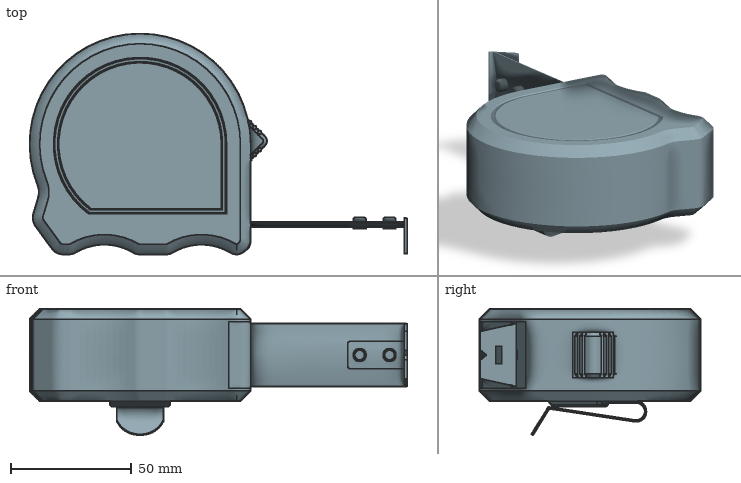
import cadquery as cq
import math


overall_length = 156.9
housing_width = 91.8
round_radius = housing_width / 2
wall_x = round_radius
base_y = -round_radius
half_height = 19.1
edge_chamfer = 4.2

wave_radius = 23.5
crest_radius = 5.6
wave_half_pitch = 14.9
wave_spacing = 40.3
wave_middle_x = 5.3
wave_centers = [wave_middle_x + wave_spacing / 2, wave_middle_x - wave_spacing / 2]
corner_height = 6.6
low_corner_x = -34.8
side_corner = (-45.2, -31.7)
notch_y = -19.5
corner_round = 6.3
notch_round = 7.8

groove_radius = 36.0
groove_base = 29.0
groove_width = 2.2
groove_depth = 0.5

mouth_left = 36.9
mouth_front = -44.7
mouth_back = -26.7
mouth_height = 27.6
mouth_round = 4.2

blade_width = 26.2
blade_sag = 1.9
blade_crown_half = 6.1
blade_thickness = 0.5
blade_edge_y = -32.2
blade_front_y = blade_edge_y - blade_sag - blade_thickness
hook_thickness = 1.4
hook_right = overall_length - round_radius
hook_left = hook_right - hook_thickness
hook_top = -30.6
hook_bottom = -45.5
hook_end_width = 19.6
hook_bend_radius = 1.0
hook_slot_y = -38.0
hook_slot_width = 2.5
hook_slot_height = 7.2
notch_depth = 2.5
notch_width = 4.0
tongue_left = 86.1
tongue_width = 11.3
tongue_corner = 1.1
tongue_step = 0.08
rivet_positions = [91.2, 103.5]
rivet_radius = 2.7
rivet_bore_radius = 2.0
rivet_bore_depth = 0.5
rivet_front_y = -35.1
rivet_back_y = -30.3
rivet_round = 1.3

button_y = 1.3
button_back = 44.0
button_tip = 52.7
button_height = 18.8
button_tip_radius = 2.7
button_chamfer = 1.5
rib_radius = 0.8
rib_pitch = 2.0
rib_count = 3
first_rib_offset = 4.0
rib_inset = 0.3

clip_width = 19.5
clip_thickness = 0.8
clip_top = -half_height
loop_y = 19.1
loop_radius = 4.0
leg_angle = math.radians(8.6)
crest_y = -17.1
tab_tip_y = -24.0
tab_tip_z = -33.1
tab_arc_height = 7.2
pad_width = 25.1
pad_front = -17.4
pad_side_end = 2.8
pad_back = 7.5
pad_thickness = 2.4
pad_chamfer = 1.0
pad_front_slope = 2.0


def scallop(outline, center_x):
    """Continue the base edge leftward through one finger scallop and its two rounded crests."""
    crest_y_center = base_y + crest_radius
    reach = wave_radius + crest_radius
    angle = math.asin(wave_half_pitch / reach)
    wave_y_center = crest_y_center - reach * math.cos(angle)

    def crest_point(side, turn):
        return (
            center_x + side * (wave_half_pitch - crest_radius * math.sin(turn)),
            crest_y_center - crest_radius * math.cos(turn),
        )

    wave_side = wave_half_pitch - crest_radius * math.sin(angle)
    wave_edge_y = crest_y_center - crest_radius * math.cos(angle)
    return (
        outline.threePointArc(crest_point(1, angle / 2), (center_x + wave_side, wave_edge_y))
        .threePointArc((center_x, wave_y_center + wave_radius), (center_x - wave_side, wave_edge_y))
        .threePointArc(crest_point(-1, angle / 2), (center_x - wave_half_pitch, base_y))
    )


def make_housing_outline():
    """Round case outline with a straight +X wall, a scalloped base and a notched -X side."""
    first_crest_x = wave_centers[0] + wave_half_pitch
    outline = (
        cq.Workplane("XY")
        .moveTo(wall_x, 0)
        .lineTo(wall_x, base_y + corner_height)
        .tangentArcPoint((first_crest_x, base_y), relative=False)
    )
    outline = scallop(outline, wave_centers[0])
    outline = outline.lineTo(wave_centers[1] + wave_half_pitch, base_y)
    outline = scallop(outline, wave_centers[1])
    notch_x = -math.sqrt(round_radius**2 - notch_y**2)
    return (
        outline.lineTo(low_corner_x, base_y)
        .lineTo(*side_corner)
        .lineTo(notch_x, notch_y)
        .threePointArc((0, round_radius), (wall_x, 0))
        .close()
    )


def make_case_half():
    """Upper half of the case, with the -X corners rounded and the top edge sloped in at 45 degrees."""
    notch_x = -math.sqrt(round_radius**2 - notch_y**2)
    side_height = half_height - edge_chamfer
    half = make_housing_outline().extrude(side_height)
    roundings = [
        ((low_corner_x, base_y), corner_round),
        (side_corner, corner_round),
        ((notch_x, notch_y), notch_round),
    ]
    for (x, y), radius in roundings:
        corner_edge = cq.selectors.NearestToPointSelector((x, y, side_height / 2))
        half = half.edges("|Z").edges(corner_edge).fillet(radius)
    rim = half.faces(">Z").wires().toPending().workplane()
    return half.union(rim.extrude(edge_chamfer, combine=False, taper=45))


def make_trim_outline(radius, base):
    """Outline with a round top, a straight +X side and a straight base at y = -base."""
    return (
        cq.Workplane("XY", origin=(0, 0, half_height))
        .moveTo(radius, 0)
        .lineTo(radius, -base)
        .lineTo(-math.sqrt(radius**2 - base**2), -base)
        .threePointArc((-radius * math.sqrt(0.5), radius * math.sqrt(0.5)), (radius, 0))
        .close()
    )


def make_trim_groove():
    """Shallow ring with walls that slope in to a flat floor."""
    outer = make_trim_outline(groove_radius, groove_base).extrude(-groove_depth, taper=45)
    inner = make_trim_outline(groove_radius - groove_width, groove_base - groove_width)
    return outer.cut(inner.extrude(-groove_depth, taper=-45))


def make_mouth_block():
    """Solid corner block, without its rounding, that fills the corner where the blade leaves."""
    return cq.Workplane("XY").box(
        wall_x - mouth_left, mouth_back - mouth_front, mouth_height, centered=False
    ).translate((mouth_left, mouth_front, -mouth_height / 2))


def make_mouth_pocket():
    """Corner opening for the mouth insert, running out through the base and the +X wall."""
    return cq.Workplane("XY").box(
        wall_x - mouth_left, mouth_back - base_y, mouth_height, centered=False
    ).translate((mouth_left, base_y, -mouth_height / 2))


def make_housing(button):
    half = make_case_half()
    case = half.union(half.mirror("XY"), clean=False)
    case = case.cut(make_trim_groove(), clean=False)
    case = case.cut(make_mouth_pocket(), clean=False)
    return case.cut(button, clean=False)


def make_blade_strip():
    """Steel strip with nearly flat wings and a crown toward -Y, from the mouth insert to the hook."""
    half_width = blade_width / 2
    wing_slope = blade_sag / (half_width - blade_crown_half / 2)
    wing_drop = wing_slope * (half_width - blade_crown_half)
    front_edge_y = blade_edge_y - blade_thickness

    def section_points(edge_y, direction):
        return [
            (edge_y - wing_drop, -direction * blade_crown_half),
            (edge_y - blade_sag, 0),
            (edge_y - wing_drop, direction * blade_crown_half),
            (edge_y, direction * half_width),
        ]

    return (
        cq.Workplane("YZ", origin=(mouth_left, 0, 0))
        .moveTo(blade_edge_y, -half_width)
        .spline(section_points(blade_edge_y, 1), includeCurrent=True)
        .lineTo(front_edge_y, half_width)
        .spline(section_points(front_edge_y, -1), includeCurrent=True)
        .close()
        .extrude(hook_left - mouth_left)
    )


def make_mouth(strip):
    block = make_mouth_block().edges("|Z and >X and <Y").fillet(mouth_round)
    return block.cut(strip)


def make_hook_plate():
    """Tapered end plate with a hanging slot and a V notch in its free edge."""
    end_half = hook_end_width / 2
    plate = (
        cq.Workplane("YZ", origin=(hook_left, 0, 0))
        .moveTo(hook_top, -blade_width / 2)
        .lineTo(hook_top, blade_width / 2)
        .lineTo(hook_bottom, end_half)
        .lineTo(hook_bottom, notch_width / 2)
        .lineTo(hook_bottom + notch_depth, 0)
        .lineTo(hook_bottom, -notch_width / 2)
        .lineTo(hook_bottom, -end_half)
        .close()
        .extrude(hook_thickness)
        .edges(">Y and >X")
        .fillet(hook_bend_radius)
    )
    slot = cq.Workplane("XY").box(hook_thickness, hook_slot_width, hook_slot_height)
    return plate.cut(slot.translate((hook_left + hook_thickness / 2, hook_slot_y, 0)))


def make_tongue(strip):
    """Raised strip on the front of the blade that carries the rivets and joins the hook."""
    length = hook_left - tongue_left
    depth = blade_edge_y - blade_front_y + blade_thickness
    bounds = cq.Workplane("XY").box(length, depth, tongue_width).edges("|Y and <X").fillet(tongue_corner)
    bounds = bounds.translate((tongue_left + length / 2, blade_front_y + depth / 2 - blade_thickness, 0))
    return strip.translate((0, -tongue_step, 0)).intersect(bounds)


def make_rivet(x):
    """Rivet through the blade, with a rounded back head and a shallow bore in its front."""
    front = cq.Workplane("XZ", origin=(x, rivet_front_y, 0))
    rivet = front.circle(rivet_radius).extrude(rivet_front_y - rivet_back_y)
    rivet = rivet.faces(">Y").edges().fillet(rivet_round)
    return rivet.cut(front.circle(rivet_bore_radius).extrude(-rivet_bore_depth))


def make_blade(strip):
    blade = strip.union(make_tongue(strip)).union(make_hook_plate())
    for x in rivet_positions:
        blade = blade.union(make_rivet(x))
    return blade


def make_button():
    """Wedge-shaped lock button with 45 degree flanks, a rounded nose and grip ribs."""
    sharp_tip = button_tip + button_tip_radius * (math.sqrt(2) - 1)
    half_base = sharp_tip - button_back
    button = (
        cq.Workplane("XY", origin=(0, button_y, -button_height / 2))
        .polyline([(button_back, -half_base), (sharp_tip, 0), (button_back, half_base)])
        .close()
        .extrude(button_height)
        .edges("|Z and >X")
        .fillet(button_tip_radius)
        .faces("|Z")
        .edges("not <X")
        .chamfer(button_chamfer)
    )
    for side in (-1, 1):
        for i in range(rib_count):
            offset = first_rib_offset + i * rib_pitch
            rib = cq.Workplane("XY").circle(rib_radius).extrude(button_height)
            rib_place = (sharp_tip - offset - rib_inset, button_y + side * (offset - rib_inset), -button_height / 2)
            button = button.union(rib.translate(rib_place))
    return button


def make_clip_pad():
    """Thick plate under the housing that holds the clip strip, with a bowed back edge and a sloping front."""
    half_width = pad_width / 2
    pad_bottom = clip_top - pad_thickness
    front_wedge = (
        cq.Workplane("YZ", origin=(-half_width, 0, 0))
        .polyline([(pad_front, clip_top), (pad_front, pad_bottom), (pad_front + pad_front_slope, pad_bottom)])
        .close()
        .extrude(pad_width)
    )
    pad = (
        cq.Workplane("XY", origin=(0, 0, pad_bottom))
        .moveTo(-half_width, pad_front)
        .lineTo(half_width, pad_front)
        .lineTo(half_width, pad_side_end)
        .threePointArc((0, pad_back), (-half_width, pad_side_end))
        .close()
        .extrude(pad_thickness)
        .faces("<Z")
        .edges("not <Y")
        .chamfer(pad_chamfer)
    )
    return pad.cut(front_wedge)


def make_clip():
    """Sheet strip folded back under itself and flared into a round-ended tab."""
    strip_z = clip_top - clip_thickness / 2
    loop_z = strip_z - loop_radius
    leg_start_y = loop_y - loop_radius * math.sin(leg_angle)
    leg_start_z = loop_z - loop_radius * math.cos(leg_angle)
    crest_z = leg_start_z + (leg_start_y - crest_y) * math.tan(leg_angle)
    path = (
        cq.Workplane("YZ")
        .moveTo(pad_front + clip_thickness, strip_z)
        .lineTo(loop_y, strip_z)
        .threePointArc((loop_y + loop_radius, loop_z), (leg_start_y, leg_start_z))
        .lineTo(crest_y, crest_z)
    )
    strip = (
        cq.Workplane("XZ", origin=(0, pad_front + clip_thickness, strip_z))
        .rect(clip_width, clip_thickness)
        .sweep(path)
    )

    tab_direction = cq.Vector(0, tab_tip_y - crest_y, tab_tip_z - crest_z)
    tab_length = tab_direction.Length
    tab_normal = cq.Vector(1, 0, 0).cross(tab_direction.normalized())
    tab_plane = cq.Plane(origin=(0, crest_y, crest_z), xDir=(1, 0, 0), normal=tab_normal.toTuple())
    half_width = clip_width / 2
    tab = (
        cq.Workplane(tab_plane)
        .moveTo(-half_width, 0)
        .lineTo(-half_width, tab_length - tab_arc_height)
        .threePointArc((0, tab_length), (half_width, tab_length - tab_arc_height))
        .lineTo(half_width, 0)
        .close()
        .extrude(clip_thickness / 2, both=True)
    )
    return strip.union(tab).union(make_clip_pad())


button = make_button()
housing = make_housing(button)
blade_strip = make_blade_strip()
mouth = make_mouth(blade_strip)
blade = make_blade(blade_strip)
clip = make_clip()

bodies = [housing, mouth, blade, button, clip]
result = cq.Compound.makeCompound([body.solids().val() for body in bodies])